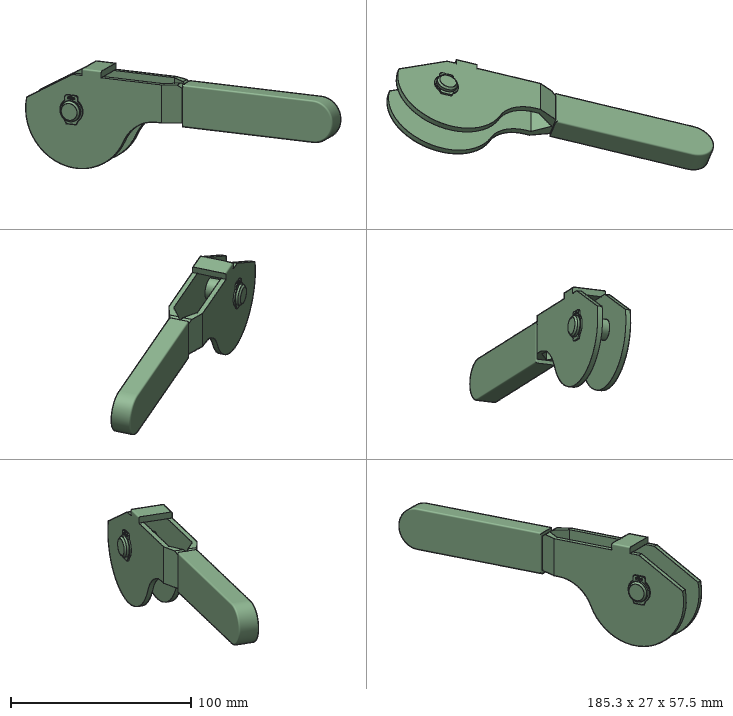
import cadquery as cq
import math


nose_x = -28.2
cheek_top = 20.7
cheek_thickness = 3.0
outer_half_width = 10.0
inner_half_width = outer_half_width - cheek_thickness
cam_radius = 31.1
cam_center_x = nose_x + cam_radius
cam_center_z = -1.9
slope_angle = 30.0
slope_end_x = 0.5
neck_bottom = -1.1
throat_radius = 22.2

bend_x = 54.8
inner_meet_x = 64.5
neck_half_thickness = 5.4
corner_cut_length = 2.6
corner_cut_drop = 1.9

bridge_front_x = 6.1
bridge_length = 11.9
bridge_top = 24.5
bridge_edge_radius = 1.0

grip_start_x = 65.2
grip_end_x = 157.1
grip_thickness = 11.9
grip_bottom = -3.3
grip_edge_radius = 1.0
grip_radius = (cheek_top - grip_bottom) / 2

pin_radius = 6.0
pin_length = 27.0
pin_chamfer = 1.1

ring_thickness = 1.0
ring_radius = 6.9
ear_half_width = 3.9
ear_top = 8.9
ear_chamfer = 1.0
ear_slot_width = 1.1
ear_hole_radius = 0.5
ear_hole_x = 1.7
ear_hole_z = 7.2
foot_bottom = -7.8
foot_half_width = 3.0
foot_root_z = -6.0


def extrude_along_y(sketch, y_start, y_end):
    """Extrude an XZ sketch between two Y positions."""
    return sketch.extrude(y_start - y_end).translate((0, y_start, 0))


def cheek_profile():
    """Side outline of the cheeks: cam, throat, neck and sloping front edge."""
    throat_z = neck_bottom - throat_radius
    center_distance = cam_radius + throat_radius
    throat_dz = throat_z - cam_center_z
    throat_dx = math.sqrt(center_distance**2 - throat_dz**2)
    throat_x = cam_center_x + throat_dx
    join_x = cam_center_x + throat_dx * cam_radius / center_distance
    join_z = cam_center_z + throat_dz * cam_radius / center_distance
    throat_mid_angle = (math.pi / 2 + math.atan2(-throat_dz, -throat_dx)) / 2
    throat_mid = (
        throat_x + throat_radius * math.cos(throat_mid_angle),
        throat_z + throat_radius * math.sin(throat_mid_angle),
    )
    slope = math.radians(slope_angle)
    rise_x = slope_end_x - cam_center_x
    rise_z = cheek_top - cam_center_z
    along = rise_x * math.cos(slope) + rise_z * math.sin(slope)
    across = rise_z * math.cos(slope) - rise_x * math.sin(slope)
    slope_length = along + math.sqrt(cam_radius**2 - across**2)
    corner_x = slope_end_x - slope_length * math.cos(slope)
    corner_z = cheek_top - slope_length * math.sin(slope)
    return (
        cq.Workplane("XZ")
        .moveTo(corner_x, corner_z)
        .threePointArc((cam_center_x, cam_center_z - cam_radius), (join_x, join_z))
        .threePointArc(throat_mid, (throat_x, neck_bottom))
        .lineTo(grip_start_x, neck_bottom)
        .lineTo(grip_start_x, cheek_top - corner_cut_drop)
        .lineTo(grip_start_x - corner_cut_length, cheek_top)
        .lineTo(slope_end_x, cheek_top)
        .close()
    )


def make_cheeks():
    """Both cheeks: the side outline trimmed to their forked plan shape."""
    side_block = extrude_along_y(cheek_profile(), -outer_half_width, outer_half_width)
    plan = (
        cq.Workplane("XY", origin=(0, 0, cam_center_z - cam_radius))
        .moveTo(nose_x, inner_half_width)
        .lineTo(nose_x, outer_half_width)
        .lineTo(bend_x, outer_half_width)
        .lineTo(grip_start_x, neck_half_thickness)
        .lineTo(grip_start_x, 0)
        .lineTo(inner_meet_x, 0)
        .lineTo(bend_x, inner_half_width)
        .close()
        .extrude(cheek_top - cam_center_z + cam_radius)
    )
    return side_block.intersect(plan.union(plan.mirror("XZ")))


def make_bridge():
    """Strip across the cheek tops, rounded along its two outer edges."""
    bridge = cq.Workplane("XY", origin=(bridge_front_x, 0, cheek_top)).box(
        bridge_length,
        2 * outer_half_width,
        bridge_top - cheek_top,
        centered=(False, True, False),
    )
    return bridge.edges("|X and >Z").fillet(bridge_edge_radius)


def make_grip():
    """Flat bar with a round end and softened side faces."""
    grip_sketch = (
        cq.Workplane("XZ")
        .moveTo(grip_start_x, cheek_top)
        .lineTo(grip_end_x - grip_radius, cheek_top)
        .threePointArc(
            (grip_end_x, cheek_top - grip_radius),
            (grip_end_x - grip_radius, grip_bottom),
        )
        .lineTo(grip_start_x, grip_bottom)
        .close()
    )
    grip = extrude_along_y(grip_sketch, -grip_thickness / 2, grip_thickness / 2)
    return grip.faces("<Y or >Y").edges().fillet(grip_edge_radius)


def make_pin():
    """Cross pin with chamfered ends."""
    circle = cq.Workplane("XZ").circle(pin_radius)
    pin = extrude_along_y(circle, -pin_length / 2, pin_length / 2)
    return pin.faces("<Y or >Y").chamfer(pin_chamfer)


def make_ring():
    """Retaining ring against the -Y cheek: split eared top and a small foot."""
    y_outer = -outer_half_width - ring_thickness
    y_inner = -outer_half_width

    def plate(sketch):
        return extrude_along_y(sketch, y_outer, y_inner)

    ears = (
        cq.Workplane("XZ")
        .moveTo(-ear_half_width, 0)
        .lineTo(-ear_half_width, ear_top - ear_chamfer)
        .lineTo(-ear_half_width + ear_chamfer, ear_top)
        .lineTo(ear_half_width - ear_chamfer, ear_top)
        .lineTo(ear_half_width, ear_top - ear_chamfer)
        .lineTo(ear_half_width, 0)
        .close()
    )
    foot = (
        cq.Workplane("XZ")
        .moveTo(-ear_half_width, 0)
        .lineTo(-ear_half_width, foot_root_z)
        .lineTo(-foot_half_width, foot_bottom)
        .lineTo(foot_half_width, foot_bottom)
        .lineTo(ear_half_width, foot_root_z)
        .lineTo(ear_half_width, 0)
        .close()
    )
    slot = cq.Workplane("XZ").center(0, ear_top / 2).rect(ear_slot_width, ear_top)
    ear_hole_centers = [(-ear_hole_x, ear_hole_z), (ear_hole_x, ear_hole_z)]
    holes = cq.Workplane("XZ").pushPoints(ear_hole_centers).circle(ear_hole_radius)
    ring = plate(cq.Workplane("XZ").circle(ring_radius)).union(plate(ears)).union(plate(foot))
    return ring.cut(plate(slot)).cut(plate(holes))


ring = make_ring()
result = (
    make_cheeks()
    .union(make_bridge())
    .union(make_grip())
    .union(ring)
    .union(ring.mirror("XZ"))
    .union(make_pin())
)